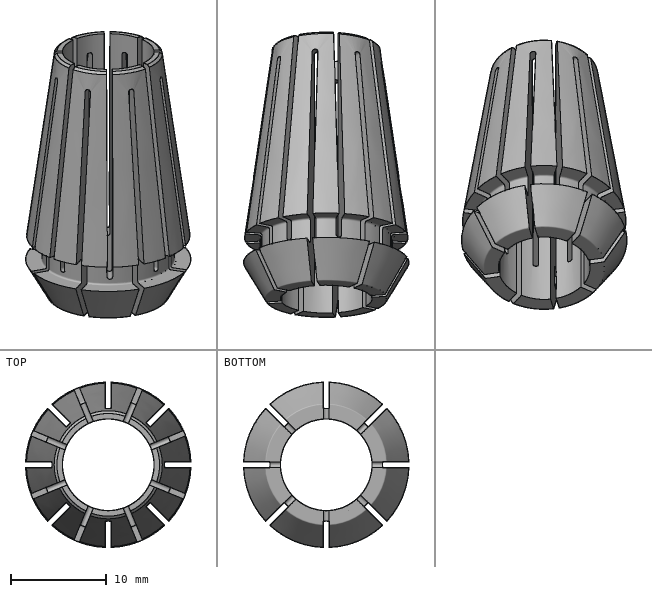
import cadquery as cq
import math

total_height = 27.5
bore_diameter = 9.53

flange_radius = 8.625
flange_height = 4.0
nose_half_angle = 30.0
nose_edge_fillet = 0.15

groove_radius = 6.9
groove_top = 6.7
groove_fillet = 0.2

taper_base_radius = 8.52
taper_half_angle = 8.0
tip_chamfer = 0.25

slot_width = 0.6
slots_per_set = 8
slot_pitch = 360.0 / slots_per_set
lower_slot_top = 25.5
upper_slot_bottom = 4.65
slot_overrun = 1.0


def make_body():
    """Revolve the outer profile around Z and bore it through."""
    bore_radius = bore_diameter / 2
    nose_tip_radius = flange_radius - flange_height * math.tan(math.radians(nose_half_angle))
    taper_length = total_height - groove_top
    taper_tip_radius = taper_base_radius - taper_length * math.tan(math.radians(taper_half_angle))
    body = (
        cq.Workplane("XZ")
        .moveTo(bore_radius, 0)
        .lineTo(nose_tip_radius, 0)
        .lineTo(flange_radius, flange_height)
        .lineTo(groove_radius, flange_height)
        .lineTo(groove_radius, groove_top)
        .lineTo(taper_base_radius, groove_top)
        .lineTo(taper_tip_radius, total_height)
        .lineTo(bore_radius, total_height)
        .close()
        .revolve(360, (0, 0, 0), (0, 1, 0))
    )
    outer_rim = cq.selectors.RadiusNthSelector(-1)
    body = body.faces(">Z").edges(outer_rim).chamfer(tip_chamfer)
    body = body.faces("<Z").edges(outer_rim).fillet(nose_edge_fillet)
    groove_edges = body.edges(cq.selectors.RadiusNthSelector(-3))
    return groove_edges.fillet(groove_fillet)


def make_slot(closed_end, open_end, angle):
    """Radial slot from the axis outwards, with a full round at its closed end."""
    half_width = slot_width / 2
    direction = math.copysign(1, closed_end - open_end)
    round_start = closed_end - direction * half_width
    slot = (
        cq.Workplane("YZ")
        .moveTo(-half_width, open_end)
        .lineTo(-half_width, round_start)
        .threePointArc((0, closed_end), (half_width, round_start))
        .lineTo(half_width, open_end)
        .close()
        .extrude(flange_radius + slot_overrun)
    )
    return slot.rotate((0, 0, 0), (0, 0, 1), angle)


result = make_body()
for index in range(slots_per_set):
    lower_angle = index * slot_pitch
    upper_angle = lower_angle + slot_pitch / 2
    lower_slot = make_slot(lower_slot_top, -slot_overrun, lower_angle)
    upper_slot = make_slot(upper_slot_bottom, total_height + slot_overrun, upper_angle)
    result = result.cut(lower_slot).cut(upper_slot)